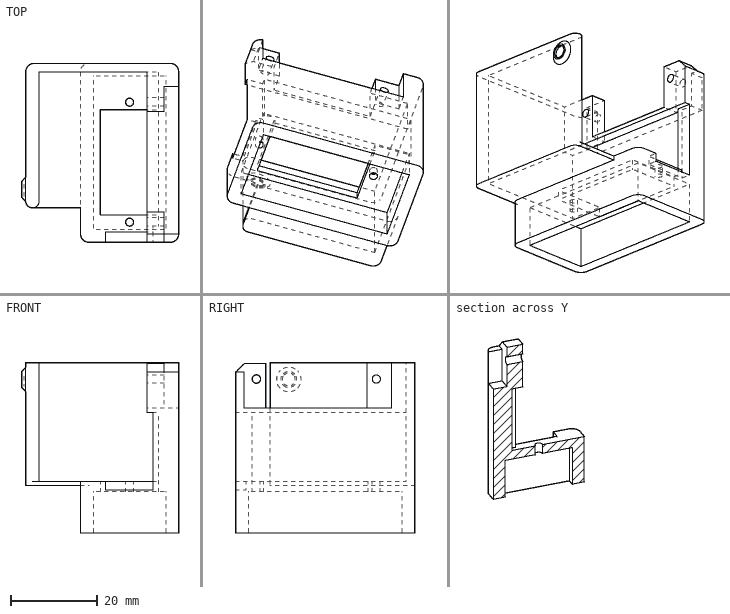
import cadquery as cq

body_width = 35.5
body_depth = 41.52
body_height = 39.5
corner_radius = 2.0

box_left = 12.7
floor_top = 12.0
floor_thickness = 2.4
floor_bottom = floor_top - floor_thickness
base_wall = 3.0

shell_bottom = 11.0
back_wall = 2.0
back_inner_y = body_depth - back_wall
left_wall = 3.15
left_wall_front = 8.0
right_wall = 6.0
right_inner_x = body_width - right_wall
rim_left = 28.1
rim_bottom = 28.0
rim_top = 29.0

relief_depth = 1.3
relief_right = right_inner_x + relief_depth
relief_front = 3.8

post_thickness = 4.0
post_right = rim_left + post_thickness
post_top = 39.3
front_post_depth = 7.0
back_post_front = 30.4
post_chamfer = 2.0
front_fin_depth = 1.9
front_fin_top = post_top - post_chamfer
back_fin_front = 36.1

window_left = 17.3
window_front = 6.4
window_back = 30.7
screw_pitch = 27.8
floor_hole_diameter = 1.8
floor_hole_x = 24.1
floor_hole_front_y = 4.7
post_hole_diameter = 1.9
post_hole_front_y = 4.8
post_hole_z = 35.7

notch_left = 18.55
notch_depth = 2.4
notch_bottom = 10.0

button_y = 12.3
button_z = 35.6
button_height = 0.9
button_base_radius = 2.85
button_tip_radius = 1.85
button_bore_radius = 1.5
button_bore_depth = 0.5


def box(x, y, z):
    """Axis-aligned block from (start, end) pairs."""
    return cq.Workplane("XY").box(
        x[1] - x[0], y[1] - y[0], z[1] - z[0], centered=False
    ).translate((x[0], y[0], z[0]))


def rod_x(x, y, z, radius):
    """Cylinder along X between a (start, end) pair."""
    plane = cq.Workplane("YZ", origin=(x[0], y, z))
    return plane.circle(radius).extrude(x[1] - x[0])


def make_shell():
    """Floor strip, back wall and left wall with its full-round front end."""
    nose_radius = left_wall / 2
    nose_y = left_wall_front + nose_radius
    floor = box((nose_radius, right_inner_x), (left_wall_front, body_depth), (shell_bottom, floor_top))
    back = box((0, right_inner_x), (back_inner_y, body_depth), (shell_bottom, body_height))
    left = box((0, left_wall), (nose_y, body_depth), (shell_bottom, body_height))
    nose = (
        cq.Workplane("XY", origin=(nose_radius, nose_y, shell_bottom))
        .circle(nose_radius)
        .extrude(body_height - shell_bottom)
    )
    walls = floor.union(back).union(left)
    walls = walls.edges("|Z and <X and >Y").fillet(corner_radius)
    return walls.union(nose)


def make_right_body():
    """Lower box and right wall, cut from one rounded prism."""
    body = box((box_left, body_width), (0, body_depth), (0, body_height))
    body = body.edges("|Z").fillet(corner_radius)
    compartment = box((box_left, right_inner_x), (0, back_inner_y), (floor_top, body_height))
    relief = box((right_inner_x, relief_right), (relief_front, back_inner_y), (floor_top, rim_bottom))
    rim = box((rim_left, right_inner_x), (0, back_inner_y), (rim_bottom, body_height))
    return body.cut(compartment).cut(relief).union(rim)


def cut_right_wall_top(part):
    """Lower the right wall around the two posts and bevel the front one."""
    saddle = box((rim_left, post_right), (front_post_depth, back_post_front), (rim_top, body_height))
    outer_step = box((post_right, body_width), (front_fin_depth, back_fin_front), (rim_top, body_height))
    fin_top = box((post_right, body_width), (0, front_fin_depth), (front_fin_top, body_height))
    post_trim = box((rim_left, post_right), (0, front_post_depth), (post_top, body_height))
    bevel = (
        cq.Workplane("YZ", origin=(rim_left, 0, 0))
        .polyline([(0, front_fin_top), (post_chamfer, post_top), (0, post_top)])
        .close()
        .extrude(post_thickness)
    )
    for cutter in (saddle, outer_step, fin_top, post_trim, bevel):
        part = part.cut(cutter)
    return part


def cut_base(part):
    """Hollow the lower box from below, then open the window and the front notch."""
    cavity = box(
        (box_left + base_wall, body_width - base_wall),
        (base_wall, body_depth - base_wall),
        (0, floor_bottom),
    )
    window = box((window_left, relief_right), (window_front, window_back), (floor_bottom, floor_top))
    notch = box((notch_left, right_inner_x), (0, notch_depth), (notch_bottom, floor_top))
    return part.cut(cavity).cut(window).cut(notch)


def cut_screw_holes(part):
    """One pair of vertical holes in the floor and one pair along X in the posts."""
    for offset in (0, screw_pitch):
        floor_hole = (
            cq.Workplane("XY", origin=(floor_hole_x, floor_hole_front_y + offset, 0))
            .circle(floor_hole_diameter / 2)
            .extrude(floor_top)
        )
        post_hole = rod_x(
            (rim_left, post_right), post_hole_front_y + offset, post_hole_z, post_hole_diameter / 2
        )
        part = part.cut(floor_hole).cut(post_hole)
    return part


def add_button(part):
    """Conical boss on the left wall with a blind bore in its tip."""
    cone = (
        cq.Workplane("XY")
        .polyline([
            (0, 0),
            (0, button_base_radius),
            (-button_height, button_tip_radius),
            (-button_height, 0),
        ])
        .close()
        .revolve(360, (0, 0, 0), (1, 0, 0))
        .translate((0, button_y, button_z))
    )
    bore = rod_x((-button_height, button_bore_depth - button_height), button_y, button_z, button_bore_radius)
    return part.union(cone).cut(bore)


result = make_right_body().union(make_shell())
result = cut_right_wall_top(result)
result = cut_base(result)
result = cut_screw_holes(result)
result = add_button(result)